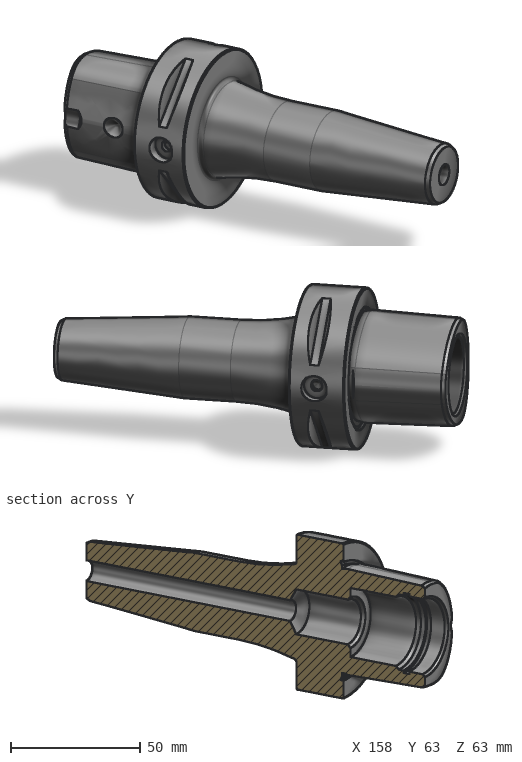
import cadquery as cq
import math

total_length = 158.0

shank_radius = 22.0
lobe_height = 1.5
shank_length = 35.9
taper_per_length = 1 / 40
lobe_half_angle = 28.0
shank_end_length = 1.6
shank_end_inset = 0.8
points_per_face = 9

flange_start = 37.9
flange_end = 60.0
flange_radius = 31.52
flange_chamfer = 0.5
neck_radius = 22.6
recess_radius = 24.0
recess_depth = 0.8
recess_rim_depth = 1.5
neck_trim_length = 0.8
neck_inset = 0.5

nose_radius = 16.0
root_radius = 20.5
root_blend_end = 62.0
root_blend_radius = 19.1
root_blend_bulge = 0.3
nose_start = 86.7
nose_taper_start = 107.3
nose_taper_angle = 4.5
nose_tip_length = 1.7
nose_tip_inset = 1.0

mouth_radius = 16.1
mouth_depth = 1.1
entry_radius = 15.2
groove_start = 7.5
groove_end = 10.0
groove_radius = 16.1
entry_depth = 12.2
seat_depth = 13.6
bore_radius = 13.9
bore_depth = 34.8
thread_mouth_radius = 10.3
thread_radius = 9.0
thread_depth = 60.0
coolant_radius = 4.1

gripper_x = 50.1
gripper_floor_distance = 27.8
gripper_floor_width = 3.3
gripper_side_angle = 30.0

pocket_x = 50.0
pocket_radius = 5.0
pocket_depth = 4.7
pilot_radius = 2.2
pilot_depth = 2.4

dimple_x = 22.5
dimple_radius = 4.3
notch_radius = 5.5
notch_floor_distance = 18.0
notch_length = 6.5

drill_half_angle = 59.0


def drill_tip(radius):
    """Length of the conical tip left by a drill."""
    return radius / math.tan(math.radians(drill_half_angle))


def lobe_point(mean_radius, angle):
    """Point (y, z) of the lobed outline whose outward normal is at the given angle from +Y."""
    support = mean_radius + lobe_height * math.cos(3 * angle)
    slope = -3 * lobe_height * math.sin(3 * angle)
    y = support * math.cos(angle) - slope * math.sin(angle)
    z = support * math.sin(angle) + slope * math.cos(angle)
    return y, z


def lobe_face_edge(mean_radius, x, start, end):
    """One smooth stretch of the lobed outline, between two normal angles in degrees."""
    step = (end - start) / (points_per_face - 1)
    angles = [math.radians(start + step * i) for i in range(points_per_face)]
    points = [cq.Vector(x, *lobe_point(mean_radius, a)) for a in angles]
    tangents = [cq.Vector(0, -math.sin(a), math.cos(a)) for a in (angles[0], angles[-1])]
    return cq.Edge.makeSpline(points, tangents)


def lobe_wire(mean_radius, x):
    edges = []
    for lobe_centre in (0, 120, 240):
        lobe_end = lobe_centre + lobe_half_angle
        next_lobe_start = lobe_centre + 120 - lobe_half_angle
        edges.append(lobe_face_edge(mean_radius, x, lobe_centre - lobe_half_angle, lobe_end))
        edges.append(lobe_face_edge(mean_radius, x, lobe_end, next_lobe_start))
    return cq.Wire.assembleEdges(edges)


def lobed_section(start_radius, start_x, end_radius, end_x):
    wires = [lobe_wire(start_radius, start_x), lobe_wire(end_radius, end_x)]
    return cq.Workplane(obj=cq.Solid.makeLoft(wires, True))


def revolved(profile):
    """Turn an (x, radius) profile about the X axis."""
    return profile.close().revolve(360, (0, 0, 0), (1, 0, 0))


def cylinder_x(radius, start, end):
    return cq.Workplane("YZ", origin=(start, 0, 0)).circle(radius).extrude(end - start)


def make_shank():
    small_radius = shank_radius - taper_per_length * (shank_length - shank_end_length)
    tip = lobed_section(small_radius - shank_end_inset, 0, small_radius, shank_end_length)
    taper = lobed_section(small_radius, shank_end_length, shank_radius, shank_length)
    neck_end = flange_start + recess_depth
    neck = lobed_section(shank_radius, shank_length, shank_radius - neck_inset, neck_end)
    neck_trim = revolved(
        cq.Workplane("XY")
        .moveTo(shank_length, 0)
        .lineTo(shank_length, shank_radius + lobe_height)
        .lineTo(shank_length + neck_trim_length, neck_radius)
        .lineTo(neck_end, neck_radius)
        .lineTo(neck_end, 0)
    )
    return tip.union(taper).union(neck.intersect(neck_trim))


def make_flange():
    flange = cylinder_x(flange_radius, flange_start, flange_end).edges().chamfer(flange_chamfer)
    recess = revolved(
        cq.Workplane("XY")
        .moveTo(flange_start, 0)
        .lineTo(flange_start, recess_radius)
        .lineTo(flange_start + recess_rim_depth, recess_radius)
        .lineTo(flange_start + recess_depth, neck_radius)
        .lineTo(flange_start + recess_depth, 0)
    )
    return flange.cut(recess)


def make_nose():
    taper_slope = math.tan(math.radians(nose_taper_angle))
    tip_start = total_length - nose_tip_length
    tip_radius = nose_radius - taper_slope * (tip_start - nose_taper_start)
    sweep_length = nose_start - root_blend_end
    sweep_rise = root_blend_radius - nose_radius
    sweep_radius = (sweep_length**2 + sweep_rise**2) / (2 * sweep_rise)
    half_sweep = math.asin(sweep_length / sweep_radius) / 2
    sweep_middle = (
        nose_start - sweep_radius * math.sin(half_sweep),
        nose_radius + sweep_radius * (1 - math.cos(half_sweep)),
    )
    blend_middle = (
        (flange_end + root_blend_end) / 2 - root_blend_bulge,
        (root_radius + root_blend_radius) / 2 - root_blend_bulge,
    )
    return revolved(
        cq.Workplane("XY")
        .moveTo(flange_end, 0)
        .lineTo(flange_end, root_radius)
        .threePointArc(blend_middle, (root_blend_end, root_blend_radius))
        .threePointArc(sweep_middle, (nose_start, nose_radius))
        .lineTo(nose_taper_start, nose_radius)
        .lineTo(tip_start, tip_radius)
        .lineTo(total_length, tip_radius - nose_tip_inset)
        .lineTo(total_length, 0)
    )


def make_bore():
    thread_mouth_end = bore_depth + thread_mouth_radius - thread_radius
    cone_end = thread_depth + drill_tip(thread_radius - coolant_radius)
    return revolved(
        cq.Workplane("XY")
        .moveTo(0, 0)
        .lineTo(0, mouth_radius)
        .lineTo(mouth_depth, entry_radius)
        .lineTo(groove_start, entry_radius)
        .lineTo(groove_start, groove_radius)
        .lineTo(groove_end, groove_radius)
        .lineTo(groove_end, entry_radius)
        .lineTo(entry_depth, entry_radius)
        .lineTo(seat_depth, bore_radius)
        .lineTo(bore_depth, bore_radius)
        .lineTo(bore_depth, thread_mouth_radius)
        .lineTo(thread_mouth_end, thread_radius)
        .lineTo(thread_depth, thread_radius)
        .lineTo(cone_end, coolant_radius)
        .lineTo(total_length, coolant_radius)
        .lineTo(total_length, 0)
    )


def make_gripper_grooves():
    """Four straight trapezoidal grooves, midway between the Y and Z axes."""
    depth = flange_radius - gripper_floor_distance
    half_floor = gripper_floor_width / 2
    half_top = half_floor + depth * math.tan(math.radians(gripper_side_angle))
    groove = (
        cq.Workplane("XZ")
        .moveTo(gripper_x - half_floor, gripper_floor_distance)
        .lineTo(gripper_x + half_floor, gripper_floor_distance)
        .lineTo(gripper_x + half_top, flange_radius)
        .lineTo(gripper_x - half_top, flange_radius)
        .close()
        .extrude(flange_radius, both=True)
    )
    grooves = cq.Workplane()
    for angle in (45, 135, 225, 315):
        grooves = grooves.add(groove.rotate((0, 0, 0), (1, 0, 0), angle))
    return grooves.combine()


def radial_hole(x, radius, outer, floor):
    """Drilled hole along Y from y = -outer to y = -floor, with a conical tip beyond the floor."""
    return (
        cq.Workplane("XY")
        .moveTo(x, -outer)
        .lineTo(x + radius, -outer)
        .lineTo(x + radius, -floor)
        .lineTo(x, -floor + drill_tip(radius))
        .close()
        .revolve(360, (x, 0, 0), (x, 1, 0))
    )


def make_flange_pockets():
    floor = flange_radius - pocket_depth
    pocket = cq.Workplane("XZ", origin=(pocket_x, -floor, 0)).circle(pocket_radius).extrude(pocket_depth)
    pocket = pocket.union(radial_hole(pocket_x, pilot_radius, flange_radius, floor - pilot_depth))
    return pocket.union(pocket.mirror("XZ"))


def make_dimple():
    """Plain 90 degree conical dimple."""
    flat_distance = shank_radius - lobe_height - taper_per_length * (shank_length - dimple_x)
    return (
        cq.Workplane("XY")
        .moveTo(dimple_x, -shank_radius)
        .lineTo(dimple_x + dimple_radius, -shank_radius)
        .lineTo(dimple_x + dimple_radius, -flat_distance)
        .lineTo(dimple_x, -flat_distance + dimple_radius)
        .close()
        .revolve(360, (dimple_x, 0, 0), (dimple_x, 1, 0))
    )


def make_notch():
    """Round-bottomed channel along X in the free end, closed by a 90 degree cone."""
    axis_y = -notch_floor_distance - notch_radius
    return (
        cq.Workplane("XY")
        .moveTo(0, axis_y)
        .lineTo(0, axis_y + notch_radius)
        .lineTo(notch_length, axis_y + notch_radius)
        .lineTo(notch_length + notch_radius, axis_y)
        .close()
        .revolve(360, (0, axis_y, 0), (1, axis_y, 0))
    )


result = (
    make_shank()
    .union(make_flange())
    .union(make_nose())
    .cut(make_bore())
    .cut(make_gripper_grooves())
    .cut(make_flange_pockets())
    .cut(make_dimple())
    .cut(make_notch())
)